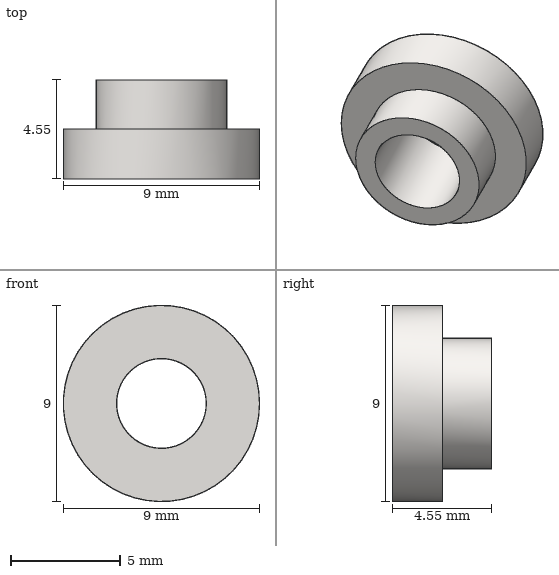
import cadquery as cq

flange_diameter = 9.0
sleeve_diameter = 6.0
bore_diameter = 4.1
total_length = 4.55
flange_thickness = 2.3


def cylinder_along_y(diameter, length):
    """Solid cylinder from the flange face (Y = 0) toward +Y."""
    return cq.Workplane("XZ").circle(diameter / 2).extrude(-length)


flange = cylinder_along_y(flange_diameter, flange_thickness)
sleeve = cylinder_along_y(sleeve_diameter, total_length)
bore = cylinder_along_y(bore_diameter, total_length)

result = flange.union(sleeve).cut(bore)